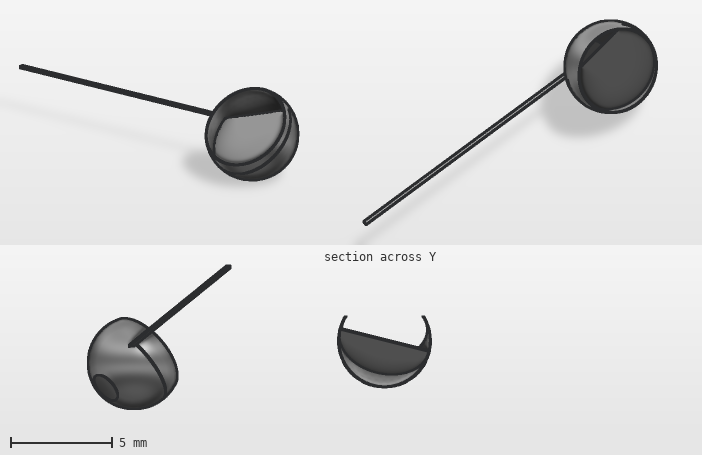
import cadquery as cq
import math

outer_radius = 2.3
wall = 0.05
rim_height = 0.78
base_depth = 2.16
tilt = 45
inner_radius = outer_radius - wall

floor_thickness = 0.07
floor_edge_offset = 1.15
floor_edge_angle = 105
floor_roll = -10

overall_length = 17.03
pin_width = 0.2
pin_height = 0.1
pin_y = 1.0
pin_z = 0.09
pin_start_x = outer_radius - overall_length


def truncated_ball(radius, bottom, top):
    """Ball about the origin, kept between two heights."""
    slab = cq.Workplane("XY").workplane(offset=bottom).circle(2 * radius).extrude(top - bottom)
    return cq.Workplane("XY").sphere(radius).intersect(slab)


def make_floor():
    """Round plate through the ball centre, with one segment missing, rolled toward -X."""
    seat_radius = outer_radius - wall / 2
    disc = truncated_ball(seat_radius, -floor_thickness, 0)
    missing_segment = (
        cq.Workplane("XY")
        .center(floor_edge_offset + outer_radius, 0)
        .rect(2 * outer_radius, 4 * outer_radius)
        .extrude(outer_radius, both=True)
        .rotate((0, 0, 0), (0, 0, 1), floor_edge_angle)
    )
    return disc.cut(missing_segment).rotate((0, 0, 0), (0, 1, 0), floor_roll)


def make_bowl():
    """Shell with an open rim, a flat base and the floor plate, tilted into place."""
    outside = truncated_ball(outer_radius, -base_depth, rim_height)
    cavity = truncated_ball(inner_radius, wall - base_depth, outer_radius)
    upright = outside.cut(cavity).union(make_floor())
    return upright.rotate((0, 0, 0), (1, 0, 0), tilt)


def make_pin():
    """Strip whose inner end follows the outside of the ball."""
    reach = math.sqrt(outer_radius**2 - pin_y**2)
    strip = (
        cq.Workplane("YZ", origin=(pin_start_x, 0, 0))
        .center(pin_y, pin_z)
        .rect(pin_width, pin_height)
        .extrude(-reach - pin_start_x + pin_width)
    )
    return strip.cut(cq.Workplane("XY").sphere(outer_radius))


bowl = make_bowl()
pin = make_pin()

result = cq.Compound.makeCompound([bowl.val(), pin.val()])